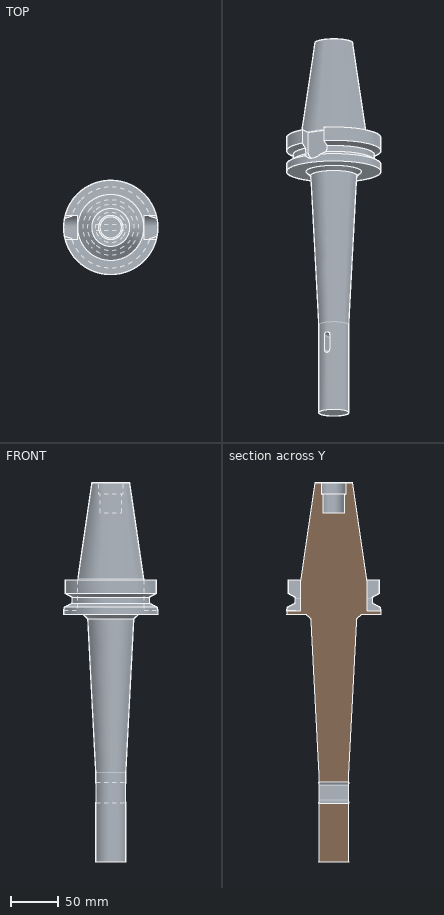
import cadquery as cq

total_length = 402.0

taper_length = 101.5
taper_top_radius = 20.0
taper_base_radius = 35.0

flange_radius = 50.02
flange_top_z = total_length - 103.0
flange_height = 37.0
flange_bottom_z = flange_top_z - flange_height
upper_rim_height = 14.5
lower_rim_height = 8.0
groove_radius = 43.0
groove_flank_height = 4.0
groove_top_z = flange_top_z - upper_rim_height
groove_bottom_z = flange_bottom_z + lower_rim_height

collar_radius = 29.5
collar_height = 4.5
neck_radius = 24.5
shank_radius = 16.0
shank_length = 95.2

drive_slot_width = 25.7
drive_slot_depth = 32.5
drive_slot_floor_x = 35.5

bore_radius = 13.0
bore_depth = 12.0
inner_bore_radius = 11.3
inner_bore_depth = 32.0

cross_slot_width = 6.5
cross_slot_length = 22.0
cross_slot_center_z = 73.5


def make_body():
    """Revolve the half profile of the holder about Z."""
    profile = [
        (0, 0),
        (shank_radius, 0),
        (shank_radius, shank_length),
        (neck_radius, flange_bottom_z - collar_height),
        (collar_radius, flange_bottom_z),
        (flange_radius, flange_bottom_z),
        (flange_radius, groove_bottom_z),
        (groove_radius, groove_bottom_z + groove_flank_height),
        (groove_radius, groove_top_z - groove_flank_height),
        (flange_radius, groove_top_z),
        (flange_radius, flange_top_z),
        (taper_base_radius, flange_top_z),
        (taper_base_radius, total_length - taper_length),
        (taper_top_radius, total_length),
        (0, total_length),
    ]
    return cq.Workplane("XZ").polyline(profile).close().revolve(360, (0, 0), (0, 1))


def make_drive_slot(side):
    """Round-bottomed slot, open at the top and rim; side is +1 or -1 along X."""
    half_width = drive_slot_width / 2
    bottom_z = flange_top_z - drive_slot_depth
    return (
        cq.Workplane("YZ", origin=(side * drive_slot_floor_x, 0, 0))
        .moveTo(-half_width, flange_top_z)
        .lineTo(-half_width, bottom_z + half_width)
        .threePointArc((0, bottom_z), (half_width, bottom_z + half_width))
        .lineTo(half_width, flange_top_z)
        .close()
        .extrude(side * flange_radius)
    )


def make_bore(radius, depth):
    """Round hole running down from the taper end."""
    return cq.Workplane("XY", origin=(0, 0, total_length)).circle(radius).extrude(-depth)


def make_cross_slot():
    """Round-ended slot along X, longer in Z, through the whole shank."""
    return (
        cq.Workplane("YZ", origin=(0, 0, cross_slot_center_z))
        .slot2D(cross_slot_length, cross_slot_width, 90)
        .extrude(2 * shank_radius, both=True)
    )


result = make_body()
for side in (-1, 1):
    result = result.cut(make_drive_slot(side))
result = result.cut(make_bore(bore_radius, bore_depth))
result = result.cut(make_bore(inner_bore_radius, inner_bore_depth))
result = result.cut(make_cross_slot())